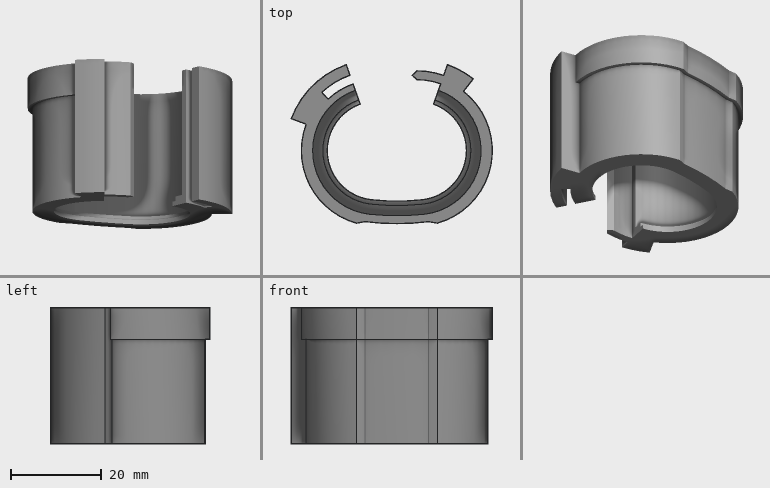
import cadquery as cq
import math


HEIGHT = 30.0
COLLAR_HEIGHT = 7.0
UPPER_LIP_TOP = 2.0
LOWER_LIP_TOP = 1.0

LOBE_X = 4.45
SHALLOW_CENTRE_Y = 40.0
BORE_RADIUS = 14.1

WALL_THICKNESS = 1.5
COLLAR_OVERHANG = 1.0
UPPER_LIP_WIDTH = 2.25
LOWER_LIP_WIDTH = 1.0

BODY_RADIUS = BORE_RADIUS + WALL_THICKNESS
COLLAR_RADIUS = BODY_RADIUS + COLLAR_OVERHANG
UPPER_LIP_RADIUS = BORE_RADIUS - UPPER_LIP_WIDTH
LOWER_LIP_RADIUS = UPPER_LIP_RADIUS - LOWER_LIP_WIDTH

TONGUE_THICKNESS = 2.0
HOOK_THICKNESS = 2.5
SLOT_OUTER_RADIUS = BODY_RADIUS + TONGUE_THICKNESS
CLASP_RADIUS = SLOT_OUTER_RADIUS + HOOK_THICKNESS
GAP_ANGLE = 70.6
HOOK_ANGLE = 20.5
SLOT_ANGLE = 46.8
BLOCK_ANGLE = 51.9
TONGUE_END_ANGLE = 90.0
TONGUE_TIP_LENGTH = 1.1

RECESS_OUTER_HALF_WIDTH = 8.9
RECESS_INNER_HALF_WIDTH = 7.0
RECESS_DEPTH_AT_LOBES = 0.75
CUT_MARGIN = 5.0


def polar(centre_x, radius, angle):
    """Point at a radius and an angle in degrees about (centre_x, 0)."""
    turn = math.radians(angle)
    return (centre_x + radius * math.cos(turn), radius * math.sin(turn))


def shallow_radius(lobe_radius):
    """Radius of the shallow arc that is tangent to lobes of the given radius."""
    return lobe_radius + math.hypot(LOBE_X, SHALLOW_CENTRE_Y)


def oval(lobe_radius, height):
    """Solid oval prism standing on Z = 0."""
    tangent_angle = math.degrees(math.atan2(SHALLOW_CENTRE_Y, LOBE_X))
    tangent_x, tangent_y = polar(LOBE_X, lobe_radius, tangent_angle)
    crown_y = shallow_radius(lobe_radius) - SHALLOW_CENTRE_Y
    side_x = LOBE_X + lobe_radius
    return (
        cq.Workplane("XY")
        .moveTo(side_x, 0)
        .threePointArc(polar(LOBE_X, lobe_radius, tangent_angle / 2), (tangent_x, tangent_y))
        .threePointArc((0, crown_y), (-tangent_x, tangent_y))
        .threePointArc(polar(-LOBE_X, lobe_radius, 180 - tangent_angle / 2), (-side_x, 0))
        .threePointArc(polar(-LOBE_X, lobe_radius, 180 + tangent_angle / 2), (-tangent_x, -tangent_y))
        .threePointArc((0, -crown_y), (tangent_x, -tangent_y))
        .threePointArc(polar(LOBE_X, lobe_radius, -tangent_angle / 2), (side_x, 0))
        .close()
        .extrude(height)
    )


def lobe_sector(centre_x, inner_radius, outer_radius, start_angle, end_angle):
    """Full-height ring sector about a lobe centre."""
    middle_angle = (start_angle + end_angle) / 2
    return (
        cq.Workplane("XY")
        .moveTo(*polar(centre_x, inner_radius, start_angle))
        .lineTo(*polar(centre_x, outer_radius, start_angle))
        .threePointArc(polar(centre_x, outer_radius, middle_angle), polar(centre_x, outer_radius, end_angle))
        .lineTo(*polar(centre_x, inner_radius, end_angle))
        .threePointArc(polar(centre_x, inner_radius, middle_angle), polar(centre_x, inner_radius, start_angle))
        .close()
        .extrude(HEIGHT)
    )


def recess_cutter(lobe_radius, height):
    """Cutter that thins the front wall of an oval with the given lobe radius."""
    corner_y = -math.sqrt(lobe_radius**2 - (RECESS_OUTER_HALF_WIDTH - LOBE_X) ** 2)
    floor_radius = shallow_radius(lobe_radius) - RECESS_DEPTH_AT_LOBES
    floor_middle_y = SHALLOW_CENTRE_Y - floor_radius
    floor_end_y = SHALLOW_CENTRE_Y - math.sqrt(floor_radius**2 - RECESS_INNER_HALF_WIDTH**2)
    outside_y = -lobe_radius - CUT_MARGIN
    return (
        cq.Workplane("XY")
        .moveTo(-RECESS_OUTER_HALF_WIDTH, outside_y)
        .lineTo(-RECESS_OUTER_HALF_WIDTH, corner_y)
        .lineTo(-RECESS_INNER_HALF_WIDTH, floor_end_y)
        .threePointArc((0, floor_middle_y), (RECESS_INNER_HALF_WIDTH, floor_end_y))
        .lineTo(RECESS_OUTER_HALF_WIDTH, corner_y)
        .lineTo(RECESS_OUTER_HALF_WIDTH, outside_y)
        .close()
        .extrude(height)
    )


def outer_wall(lobe_radius, height):
    """Oval prism with the front recess."""
    return oval(lobe_radius, height).cut(recess_cutter(lobe_radius, height))


def gap_cutter():
    """Wedge that opens the back of the ring along the gap rays."""
    reach = CLASP_RADIUS + CUT_MARGIN
    return (
        cq.Workplane("XY")
        .polyline([
            (-LOBE_X, 0),
            (LOBE_X, 0),
            polar(LOBE_X, reach, GAP_ANGLE),
            polar(-LOBE_X, reach, 180 - GAP_ANGLE),
        ])
        .close()
        .extrude(HEIGHT)
    )


def open_ring():
    """Sleeve with collar, stepped bottom lips and the open back."""
    collar = outer_wall(COLLAR_RADIUS, COLLAR_HEIGHT).translate((0, 0, HEIGHT - COLLAR_HEIGHT))
    ring = outer_wall(BODY_RADIUS, HEIGHT).union(collar)
    for bore_radius, floor_z in (
        (BORE_RADIUS, UPPER_LIP_TOP),
        (UPPER_LIP_RADIUS, LOWER_LIP_TOP),
        (LOWER_LIP_RADIUS, 0),
    ):
        ring = ring.cut(oval(bore_radius, HEIGHT - floor_z).translate((0, 0, floor_z)))
    return ring.cut(gap_cutter())


def hook():
    """Left clasp half, before its slot is cut."""
    return lobe_sector(-LOBE_X, BORE_RADIUS, CLASP_RADIUS, 180 - GAP_ANGLE, 180 - HOOK_ANGLE)


def slot_cutter():
    """Slot in the hook that takes the tongue, open toward the gap."""
    return lobe_sector(-LOBE_X, BODY_RADIUS, SLOT_OUTER_RADIUS, 180 - TONGUE_END_ANGLE, 180 - SLOT_ANGLE)


def tongue_block():
    """Right clasp half that carries the tongue."""
    return lobe_sector(LOBE_X, BORE_RADIUS, CLASP_RADIUS, BLOCK_ANGLE, GAP_ANGLE)


def tongue():
    """Curved tongue with a pointed tip, rooted in its block."""
    blade = lobe_sector(LOBE_X, BODY_RADIUS, SLOT_OUTER_RADIUS, BLOCK_ANGLE, TONGUE_END_ANGLE)
    tip = (
        cq.Workplane("XY")
        .polyline([
            (LOBE_X, BODY_RADIUS),
            (LOBE_X, SLOT_OUTER_RADIUS),
            (LOBE_X - TONGUE_TIP_LENGTH, (BODY_RADIUS + SLOT_OUTER_RADIUS) / 2),
        ])
        .close()
        .extrude(HEIGHT)
    )
    return blade.union(tip)


result = open_ring().union(hook()).cut(slot_cutter()).union(tongue_block()).union(tongue())